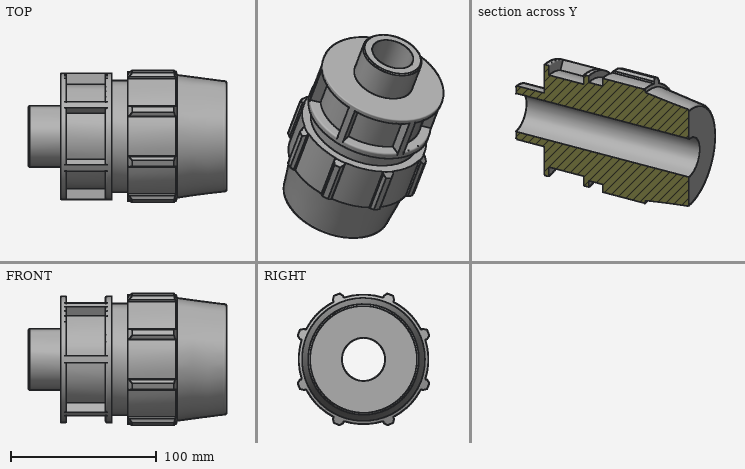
import cadquery as cq
import math

LENGTH = 136.0
BORE_DIAMETER = 29.4

SPIGOT_RADIUS = 42.0 / 2
SPIGOT_CHAMFER = 1.0

COLLAR_START = 22.2
COLLAR_END = 57.3
COLLAR_RADIUS = 86.6 / 2
FRONT_FLANGE_WIDTH = 4.0
REAR_FLANGE_WIDTH = 4.4
FRONT_FLANGE_ROUND = 1.0
REAR_FLANGE_ROUND = 1.4
POCKET_FLOOR_RADIUS = 35.9
POCKET_CLEARANCE = 1.4
WEB_COUNT = 6
WEB_WIDTH = 4.9

NECK_RADIUS = 76.8 / 2

NUT_START = 68.1
NUT_END = 102.0
NUT_RADIUS = 44.5
RIB_COUNT = 8
RIB_TOP_RADIUS = 48.0
RIB_START_RADIUS = 44.9
RIB_SHOULDER_RADIUS = 45.7
RIB_TOP_WIDTH = 4.2
RIB_BASE_WIDTH = 7.8
RIB_TOP_START = 71.1
RIB_TOP_END = 99.8

TAIL_START_RADIUS = 42.2
TAIL_END_RADIUS = 38.0
TAIL_ROUND_LENGTH = 2.2
TAIL_ROUND_DEPTH = 1.4

ENVELOPE_RADIUS = math.hypot(RIB_TOP_RADIUS, RIB_TOP_WIDTH / 2)


def revolve_x(profile):
    """Turn a closed XY profile a full revolution about the X axis."""
    return profile.close().revolve(360, (0, 0, 0), (1, 0, 0))


def make_spigot():
    spigot = cq.Workplane("YZ").circle(SPIGOT_RADIUS).extrude(COLLAR_START)
    return spigot.faces("<X").chamfer(SPIGOT_CHAMFER)


def make_neck():
    return (
        cq.Workplane("YZ")
        .workplane(offset=COLLAR_END)
        .circle(NECK_RADIUS)
        .extrude(NUT_START - COLLAR_END)
    )


def make_collar():
    collar = (
        cq.Workplane("YZ")
        .workplane(offset=COLLAR_START)
        .circle(COLLAR_RADIUS)
        .extrude(COLLAR_END - COLLAR_START)
        .faces("<X")
        .edges()
        .fillet(FRONT_FLANGE_ROUND)
    )
    return collar.cut(make_pockets())


def make_pockets():
    """Ring groove with a mouth that flares over the flange roundings, split up by the webs."""
    front_wall = COLLAR_START + FRONT_FLANGE_WIDTH
    rear_wall = COLLAR_END - REAR_FLANGE_WIDTH
    groove = revolve_x(
        cq.Workplane("XY")
        .moveTo(front_wall, POCKET_FLOOR_RADIUS)
        .lineTo(front_wall, COLLAR_RADIUS - FRONT_FLANGE_ROUND)
        .radiusArc((front_wall - FRONT_FLANGE_ROUND, COLLAR_RADIUS), -FRONT_FLANGE_ROUND)
        .lineTo(front_wall - FRONT_FLANGE_ROUND, COLLAR_RADIUS + POCKET_CLEARANCE)
        .lineTo(rear_wall + REAR_FLANGE_ROUND, COLLAR_RADIUS + POCKET_CLEARANCE)
        .lineTo(rear_wall + REAR_FLANGE_ROUND, COLLAR_RADIUS)
        .radiusArc((rear_wall, COLLAR_RADIUS - REAR_FLANGE_ROUND), -REAR_FLANGE_ROUND)
        .lineTo(rear_wall, POCKET_FLOOR_RADIUS)
    )
    bar_length = COLLAR_END - COLLAR_START
    bar_height = 2 * (COLLAR_RADIUS + 2 * POCKET_CLEARANCE)
    for i in range(WEB_COUNT // 2):
        bar = (
            cq.Workplane("XY")
            .box(bar_length, bar_height, WEB_WIDTH, centered=(False, True, True))
            .translate((COLLAR_START, 0, 0))
            .rotate((0, 0, 0), (1, 0, 0), i * 360 / WEB_COUNT)
        )
        groove = groove.cut(bar)
    return groove


def make_rib_blank(angle):
    """One square-ended grip rib, set at an angle about the X axis from +Y."""
    return (
        cq.Workplane("YZ")
        .workplane(offset=NUT_START)
        .moveTo(NECK_RADIUS, -RIB_BASE_WIDTH / 2)
        .lineTo(RIB_SHOULDER_RADIUS, -RIB_BASE_WIDTH / 2)
        .lineTo(RIB_TOP_RADIUS, -RIB_TOP_WIDTH / 2)
        .lineTo(RIB_TOP_RADIUS, RIB_TOP_WIDTH / 2)
        .lineTo(RIB_SHOULDER_RADIUS, RIB_BASE_WIDTH / 2)
        .lineTo(NECK_RADIUS, RIB_BASE_WIDTH / 2)
        .close()
        .extrude(NUT_END - NUT_START)
        .rotate((0, 0, 0), (1, 0, 0), angle)
    )


def make_nut():
    nut = (
        cq.Workplane("YZ")
        .workplane(offset=NUT_START)
        .circle(NUT_RADIUS)
        .extrude(NUT_END - NUT_START)
    )
    pitch = 360 / RIB_COUNT
    for i in range(RIB_COUNT):
        nut = nut.union(make_rib_blank((i + 0.5) * pitch))

    envelope = revolve_x(
        cq.Workplane("XY")
        .moveTo(NUT_START, 0)
        .lineTo(NUT_START, RIB_START_RADIUS)
        .lineTo(RIB_TOP_START, ENVELOPE_RADIUS)
        .lineTo(RIB_TOP_END, ENVELOPE_RADIUS)
        .lineTo(NUT_END, TAIL_START_RADIUS)
        .lineTo(NUT_END, 0)
    )
    return nut.intersect(envelope)


def make_tail():
    round_start = LENGTH - TAIL_ROUND_LENGTH
    round_middle = (
        round_start + TAIL_ROUND_LENGTH * math.sin(math.pi / 4),
        TAIL_END_RADIUS - TAIL_ROUND_DEPTH * (1 - math.cos(math.pi / 4)),
    )
    return revolve_x(
        cq.Workplane("XY")
        .moveTo(NUT_END, 0)
        .lineTo(NUT_END, TAIL_START_RADIUS)
        .lineTo(round_start, TAIL_END_RADIUS)
        .threePointArc(round_middle, (LENGTH, TAIL_END_RADIUS - TAIL_ROUND_DEPTH))
        .lineTo(LENGTH, 0)
    )


body = make_spigot().union(make_collar()).union(make_neck())
body = body.union(make_nut()).union(make_tail())
bore = cq.Workplane("YZ").circle(BORE_DIAMETER / 2).extrude(LENGTH)
result = body.cut(bore)